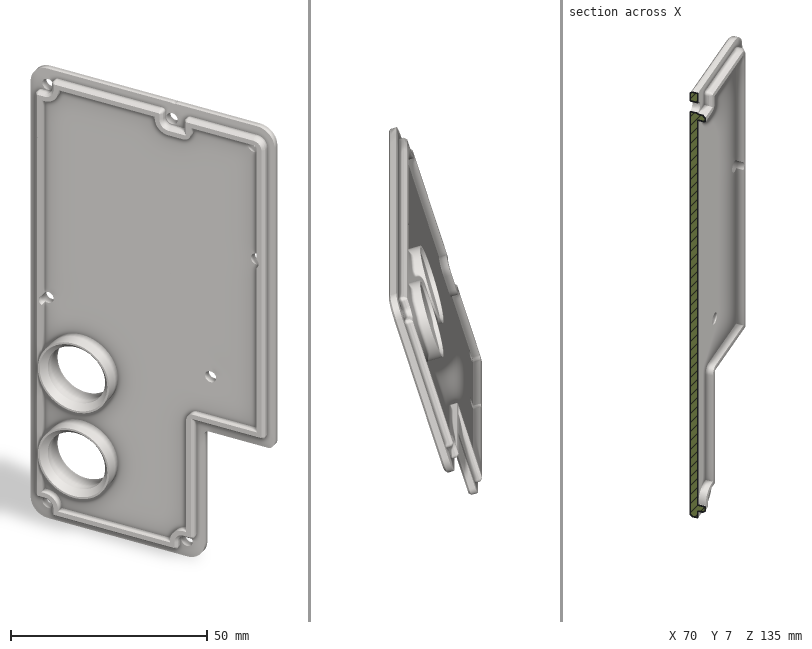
import cadquery as cq

plate_width = 70.0
plate_height = 135.0
plate_thickness = 2.2
leg_width = 50.0
step_height = 39.3
corner_radius = 5.0
step_outer_radius = 2.0
step_inner_radius = 1.2
back_chamfer = 0.5
rim_groove_x = 41.2
rim_groove_width = 1.2
rim_groove_depth = 0.1

screw_diameter = 3.2
screw_inset = 5.0
screw_end_inset = 4.7
top_screw_x = 40.6
corner_screws = [
    (screw_inset, screw_end_inset),
    (leg_width - screw_inset, screw_end_inset),
    (screw_inset, plate_height - screw_end_inset),
    (top_screw_x, plate_height - screw_end_inset),
]
inner_screws = [(64.1, 128.7), (65.0, 95.0), (screw_inset, 66.3), (51.7, 55.9)]

lip_height = 2.0
lip_width = 2.0
lip_chamfer = 0.7
lip_left = 2.2
lip_right = plate_width - 2.0
lip_bottom = 2.2
lip_top = plate_height - 2.2
lip_top_right = plate_height - 2.5
lip_leg_right = leg_width - 2.2
lip_step = step_height + 3.1
lip_corner_radius = 3.0
lip_edge_radius = 1.0
notch_radius = 1.9
top_notch_right = 45.0

collar_diameter = 20.5
collar_bore = 16.5
collar_mouth = 19.5
collar_mouth_depth = 1.6
collar_top = 7.0
collar_x = 14.8
collar_heights = [21.9, 47.7]


def front_plane(height=0.0):
    """Sketch plane parallel to the plate, at a height above its back face."""
    return cq.Workplane("XZ", origin=(0, -height, 0))


def round_upright_edge(body, x, z, radius):
    """Round the edge that runs along Y through the point (x, z)."""
    reach = 0.07
    near_corner = (x - reach, -plate_height, z - reach)
    far_corner = (x + reach, plate_height, z + reach)
    box = cq.selectors.BoxSelector(near_corner, far_corner)
    return body.edges("|Y").edges(box).fillet(radius)


def make_plate():
    plate = (
        front_plane()
        .polyline([
            (0, 0),
            (leg_width, 0),
            (leg_width, step_height),
            (plate_width, step_height),
            (plate_width, plate_height),
            (0, plate_height),
        ])
        .close()
        .extrude(plate_thickness)
    )
    for x, z in [(0, 0), (leg_width, 0), (plate_width, plate_height), (0, plate_height)]:
        plate = round_upright_edge(plate, x, z, corner_radius)
    plate = round_upright_edge(plate, plate_width, step_height, step_outer_radius)
    plate = round_upright_edge(plate, leg_width, step_height, step_inner_radius)
    return plate.faces(">Y").chamfer(back_chamfer)


def cut_rim_groove(plate):
    groove = (
        front_plane()
        .moveTo(rim_groove_x - rim_groove_width / 2, plate_height)
        .threePointArc(
            (rim_groove_x, plate_height - rim_groove_depth),
            (rim_groove_x + rim_groove_width / 2, plate_height),
        )
        .close()
        .extrude(plate_thickness)
    )
    return plate.cut(groove)


def make_lip_block():
    """Solid bounded by the outer wall of the lip, notched around the edge screws."""
    left_notch = screw_inset + notch_radius
    leg_notch = leg_width - left_notch
    low = screw_end_inset + notch_radius
    high = plate_height - low
    top_notch_left = top_screw_x - notch_radius
    block = (
        front_plane(plate_thickness)
        .polyline([
            (left_notch, lip_bottom),
            (leg_notch, lip_bottom),
            (leg_notch, low),
            (lip_leg_right, low),
            (lip_leg_right, lip_step),
            (lip_right, lip_step),
            (lip_right, lip_top_right),
            (top_notch_right, lip_top_right),
            (top_notch_right, high),
            (top_notch_left, high),
            (top_notch_left, lip_top),
            (left_notch, lip_top),
            (left_notch, high),
            (lip_left, high),
            (lip_left, low),
            (left_notch, low),
        ])
        .close()
        .extrude(lip_height)
    )
    for x, z in [(left_notch, low), (leg_notch, low), (left_notch, high), (top_notch_left, high)]:
        block = round_upright_edge(block, x, z, notch_radius)
    block = round_upright_edge(block, lip_right, lip_top_right, lip_corner_radius)
    small_rounds = [
        (left_notch, lip_bottom),
        (leg_notch, lip_bottom),
        (lip_leg_right, low),
        (lip_right, lip_step),
        (top_notch_right, lip_top_right),
        (top_notch_left, lip_top),
        (left_notch, lip_top),
        (lip_left, high),
        (lip_left, low),
    ]
    for x, z in small_rounds:
        block = round_upright_edge(block, x, z, lip_edge_radius)
    return block


def make_lip():
    block = make_lip_block()
    outline = block.faces("<Y").wires().vals()[0]
    pocket = (
        front_plane(plate_thickness + lip_height)
        .add(outline)
        .toPending()
        .offset2D(-lip_width)
        .extrude(-lip_height)
    )
    return block.faces("<Y").chamfer(lip_chamfer).cut(pocket)


def add_collars(body):
    centres = [(collar_x, z) for z in collar_heights]
    collars = front_plane().pushPoints(centres).circle(collar_diameter / 2).extrude(collar_top)
    bores = front_plane().pushPoints(centres).circle(collar_bore / 2).extrude(collar_top)
    body = body.union(collars).cut(bores)
    for x, z in centres:
        mouth = (
            front_plane(collar_top - collar_mouth_depth)
            .center(x, z)
            .circle(collar_bore / 2)
            .workplane(offset=collar_mouth_depth)
            .circle(collar_mouth / 2)
            .loft()
        )
        body = body.cut(mouth)
    return body


def drill_screw_holes(body):
    drills = (
        front_plane()
        .pushPoints(corner_screws + inner_screws)
        .circle(screw_diameter / 2)
        .extrude(plate_thickness + lip_height)
    )
    return body.cut(drills)


plate = cut_rim_groove(make_plate())
cover = add_collars(plate.union(make_lip()))
result = drill_screw_holes(cover)